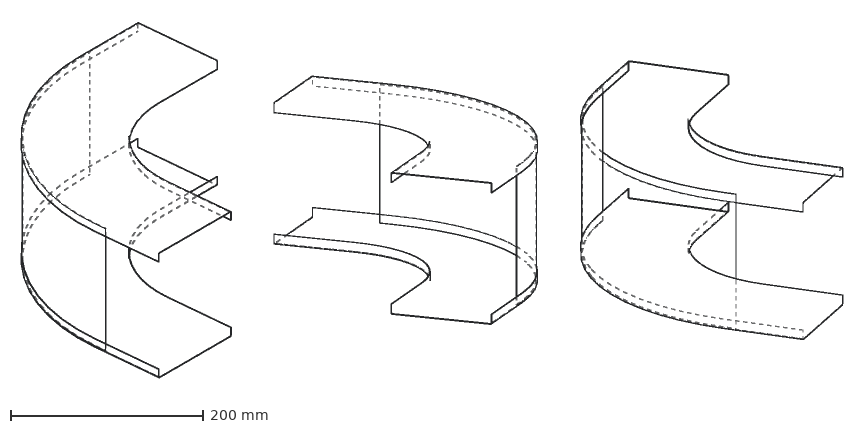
import cadquery as cq
import math

SIDE = 323.8
HEIGHT = 153.0

COVER_WIDTH = 112.7
OUTER_RADIUS = 234.0
FLANGE_HEIGHT = 11.0
SHEET = 1.0
BEND_RADIUS = 2.0

WALL_SHEET = 1.0
WALL_STRAIGHT = 14.2

STRAIGHT = SIDE - OUTER_RADIUS
CENTRE = OUTER_RADIUS - SIDE / 2


def bend_strip(outer_inset, width, straight, bottom, height):
    """Quarter-bend strip with a straight run at each end, extruded upward from bottom."""
    outer = OUTER_RADIUS - outer_inset
    inner = outer - width
    diagonal = math.sqrt(0.5)
    return (
        cq.Workplane("XY", origin=(CENTRE, CENTRE, bottom))
        .moveTo(-outer, straight)
        .lineTo(-outer, 0)
        .threePointArc((-outer * diagonal, -outer * diagonal), (0, -outer))
        .lineTo(straight, -outer)
        .lineTo(straight, -inner)
        .lineTo(0, -inner)
        .threePointArc((-inner * diagonal, -inner * diagonal), (-inner, 0))
        .lineTo(-inner, straight)
        .close()
        .extrude(height)
    )


def round_long_top_edges(channel, radius):
    """Round the long top edges; the top edges across the two open ends stay sharp."""
    long_edges = channel.faces(">Z").edges().filter(
        lambda edge: max(edge.Center().x, edge.Center().y) < SIDE / 2 - SHEET
    )
    return long_edges.fillet(radius)


def make_top_cover():
    """Channel with its web on top and both side flanges turned down."""
    bottom = HEIGHT / 2 - FLANGE_HEIGHT
    blank = bend_strip(0, COVER_WIDTH, STRAIGHT, bottom, FLANGE_HEIGHT)
    hollow = bend_strip(SHEET, COVER_WIDTH - 2 * SHEET, STRAIGHT, bottom, FLANGE_HEIGHT - SHEET)
    blank = round_long_top_edges(blank, BEND_RADIUS)
    hollow = round_long_top_edges(hollow, BEND_RADIUS - SHEET)
    return blank.cut(hollow)


def make_outer_wall():
    """Upright curved plate that stops where the bends of the two covers begin."""
    wall_height = HEIGHT - 2 * BEND_RADIUS
    return bend_strip(SHEET, WALL_SHEET, WALL_STRAIGHT, -wall_height / 2, wall_height)


top_cover = make_top_cover()
bottom_cover = top_cover.mirror("XY")
outer_wall = make_outer_wall()

result = cq.Compound.makeCompound([top_cover.val(), bottom_cover.val(), outer_wall.val()])